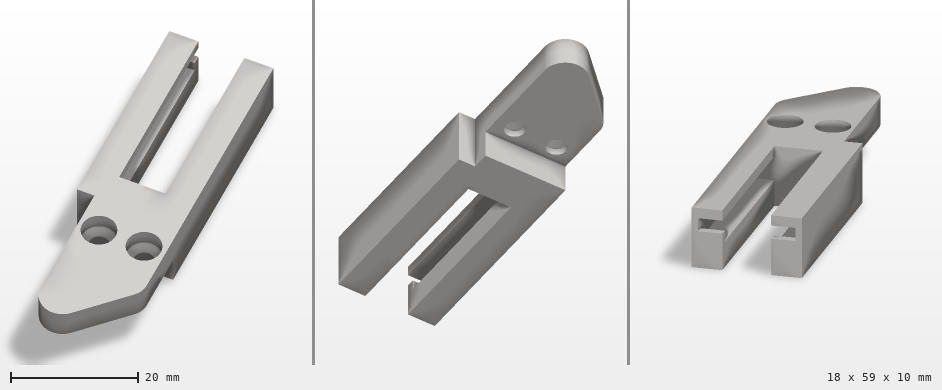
import cadquery as cq
import math

WIDTH = 18.0
LENGTH = 59.0
HEIGHT = 10.0

NOSE_INSET = 3.0
NOSE_THICKNESS = HEIGHT / 2
SHOULDER_FROM_REAR = 34.9
THICK_FROM_REAR = 37.95
TIP_RADIUS = 3.8
CORNER_RADIUS = 3.5

ARM_WIDTH = 5.0
SLOT_LENGTH = 29.9
ROOF_THICKNESS = 1.7
CHANNEL_HEIGHT = 4.0
REAR_LIP_LENGTH = 1.4
REAR_OPENING_HEIGHT = 2.2
SIDE_WALL = 1.0

HOLE_FROM_REAR = 40.95
FIRST_HOLE_X = 6.55
HOLE_PITCH = 7.8
HOLE_DIAMETER = 3.5
HEAD_DIAMETER = 5.8
HEAD_DEPTH = 2.65
CONE_DEPTH = (HEAD_DIAMETER - HOLE_DIAMETER) / 2


def make_body():
    """Extrude the outline and thin the nose from below."""
    shoulder_y = LENGTH - SHOULDER_FROM_REAR
    diagonal = math.sqrt(0.5)
    tip_x = NOSE_INSET + TIP_RADIUS
    tangent_x = tip_x + TIP_RADIUS * diagonal
    tangent_y = TIP_RADIUS * (1 - diagonal)
    corner_y = tangent_y + WIDTH - tangent_x
    body = (
        cq.Workplane("XY")
        .moveTo(0, LENGTH)
        .lineTo(0, shoulder_y)
        .lineTo(NOSE_INSET, shoulder_y)
        .lineTo(NOSE_INSET, TIP_RADIUS)
        .threePointArc((tip_x, 0), (tangent_x, tangent_y))
        .lineTo(WIDTH, corner_y)
        .lineTo(WIDTH, LENGTH)
        .close()
        .extrude(HEIGHT)
    )
    body = body.edges(cq.selectors.NearestToPointSelector((WIDTH, corner_y, NOSE_THICKNESS)))
    body = body.fillet(CORNER_RADIUS)
    relief = cq.Workplane("XY").box(
        WIDTH, LENGTH - THICK_FROM_REAR, HEIGHT - NOSE_THICKNESS, centered=False
    )
    return body.cut(relief)


def rear_cut(side_margin, front_y, rear_y, bottom_z, top_z):
    """Box centred across the width, leaving side_margin on each side."""
    size_x = WIDTH - 2 * side_margin
    cut = cq.Workplane("XY").box(size_x, rear_y - front_y, top_z - bottom_z, centered=False)
    return cut.translate((side_margin, front_y, bottom_z))


def make_fork_cuts():
    """Through slot, undercut channel and the lower opening above its rear lip."""
    slot_end = LENGTH - SLOT_LENGTH
    roof_z = HEIGHT - ROOF_THICKNESS
    lip_y = LENGTH - REAR_LIP_LENGTH
    slot = rear_cut(ARM_WIDTH, slot_end, LENGTH, 0, HEIGHT)
    channel = rear_cut(SIDE_WALL, slot_end, lip_y, roof_z - CHANNEL_HEIGHT, roof_z)
    opening = rear_cut(SIDE_WALL, lip_y, LENGTH, roof_z - REAR_OPENING_HEIGHT, roof_z)
    return slot.union(channel).union(opening)


def make_screw_hole(x):
    """Revolved through hole with a cylindrical head seat and a 45 degree cone."""
    head_z = HEIGHT - HEAD_DEPTH
    profile = (
        cq.Workplane("XZ")
        .moveTo(0, 0)
        .lineTo(HOLE_DIAMETER / 2, 0)
        .lineTo(HOLE_DIAMETER / 2, head_z - CONE_DEPTH)
        .lineTo(HEAD_DIAMETER / 2, head_z)
        .lineTo(HEAD_DIAMETER / 2, HEIGHT)
        .lineTo(0, HEIGHT)
        .close()
    )
    hole = profile.revolve(360, (0, 0, 0), (0, 1, 0))
    return hole.translate((x, LENGTH - HOLE_FROM_REAR, 0))


result = make_body().cut(make_fork_cuts())
for hole_index in range(2):
    result = result.cut(make_screw_hole(FIRST_HOLE_X + hole_index * HOLE_PITCH))